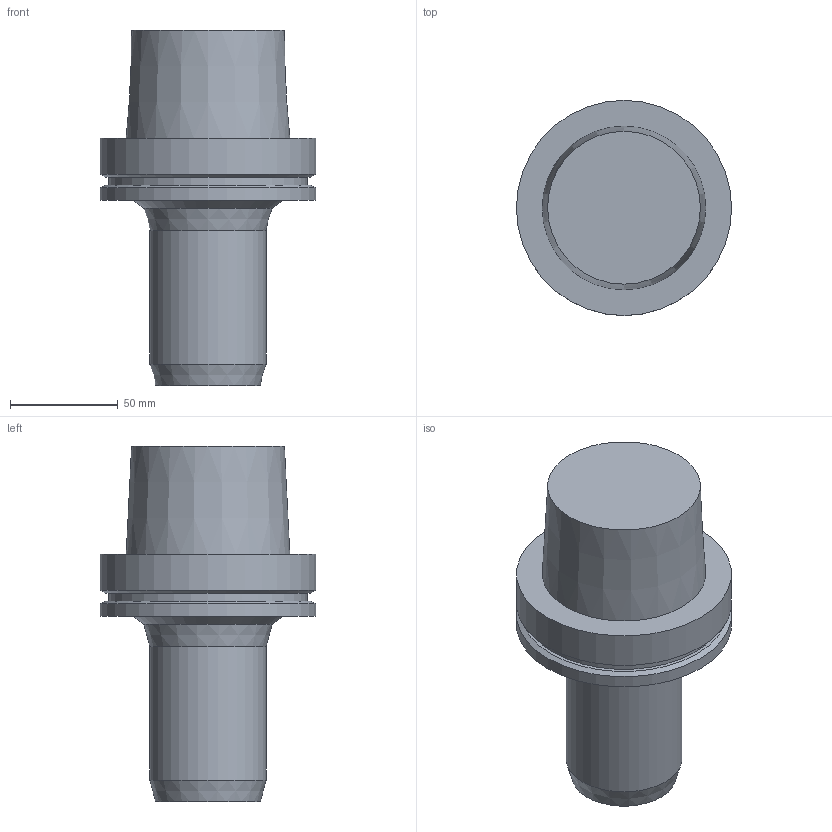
import math

import cadquery as cq


shank_length = 50.0
shank_base_radius = 38.0
shank_taper = 1 / 20
shank_tip_radius = shank_base_radius - shank_length * shank_taper

flange_radius = 50.0
flange_thickness = 29.0
groove_center_z = -20.0
groove_mouth_width = 6.4
groove_floor_radius = 46.0
groove_floor_width = 3.75
groove_bevel_angle = 60
groove_bevel_depth = (
    (groove_mouth_width - groove_floor_width) / 2 * math.tan(math.radians(groove_bevel_angle))
)

nose_radius = 27.0
nose_taper_length = 10.0
nose_end_z = -115.0
cone_half_angle = 15
cone_slope = math.tan(math.radians(cone_half_angle))
nose_end_radius = nose_radius - nose_taper_length * cone_slope

neck_top_radius = 34.5
neck_waist_z = -32.6
neck_bottom_z = -43.0
neck_waist_radius = nose_radius + (neck_waist_z - neck_bottom_z) * cone_slope


def revolve_profile(points):
    """Revolve a closed (radius, z) outline a full turn about the Z axis."""
    return cq.Workplane("YZ").polyline(points).close().revolve(360, (0, 0, 0), (0, 1, 0))


def make_body():
    """Taper shank, flange, neck and nose as one turned solid."""
    return revolve_profile([
        (0, shank_length),
        (shank_tip_radius, shank_length),
        (shank_base_radius, 0),
        (flange_radius, 0),
        (flange_radius, -flange_thickness),
        (neck_top_radius, -flange_thickness),
        (neck_waist_radius, neck_waist_z),
        (nose_radius, neck_bottom_z),
        (nose_radius, nose_end_z + nose_taper_length),
        (nose_end_radius, nose_end_z),
        (0, nose_end_z),
    ])


def make_groove():
    """Ring removed from the flange rim: square groove with bevelled lips."""
    mouth_top_z = groove_center_z + groove_mouth_width / 2
    mouth_bottom_z = groove_center_z - groove_mouth_width / 2
    upper_wall_z = groove_center_z + groove_floor_width / 2
    lower_wall_z = groove_center_z - groove_floor_width / 2
    bevel_radius = flange_radius - groove_bevel_depth
    return revolve_profile([
        (flange_radius, mouth_top_z),
        (bevel_radius, upper_wall_z),
        (groove_floor_radius, upper_wall_z),
        (groove_floor_radius, lower_wall_z),
        (bevel_radius, lower_wall_z),
        (flange_radius, mouth_bottom_z),
    ])


result = make_body().cut(make_groove())